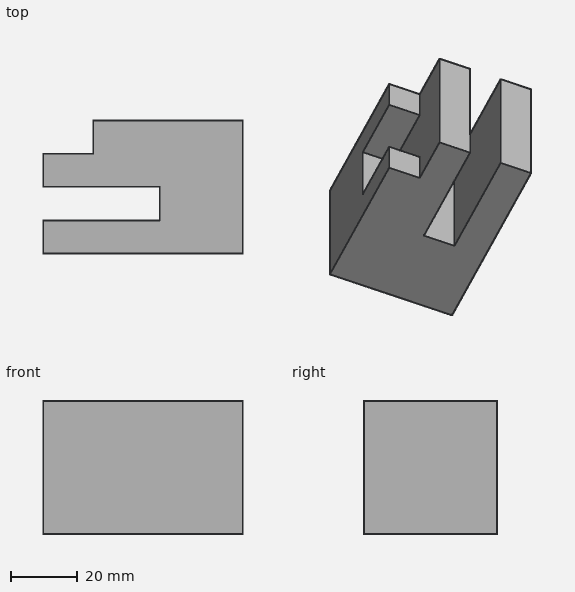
import cadquery as cq

length = 60.0
width = 40.0
height = 40.0
wall = width / 4
step_length = length / 4
slot_end = 35.0
pocket_height = height / 2

block = cq.Workplane("XY").box(length, width, height, centered=False)

step = (
    cq.Workplane("XY")
    .box(step_length, wall, height, centered=False)
    .translate((0, width - wall, 0))
)

slot = (
    cq.Workplane("XY")
    .box(slot_end, wall, height, centered=False)
    .translate((0, wall, 0))
)

pocket = (
    cq.Workplane("XY")
    .box(slot_end - step_length, wall, pocket_height, centered=False)
    .translate((step_length, width - wall, (height - pocket_height) / 2))
)

result = block.cut(step).cut(slot).cut(pocket)